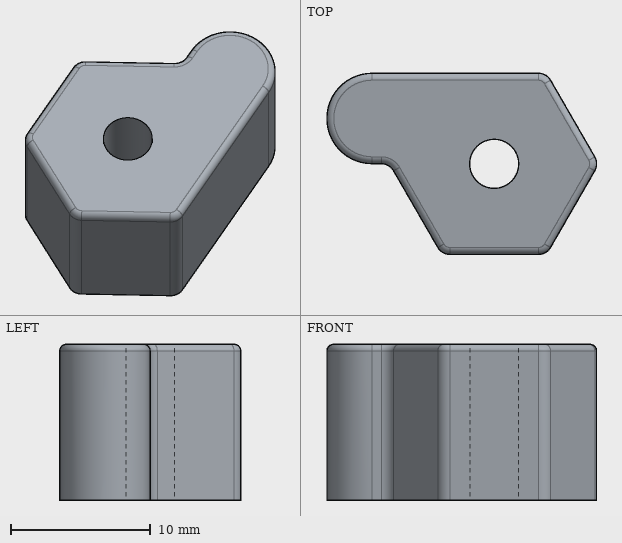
import cadquery as cq
import math

length = 19.35
across_flats = 13.0
height = 11.2
hole_diameter = 3.5
corner_radius = 1.0
top_edge_radius = 0.5

apothem = across_flats / 2
corner_reach = apothem / math.cos(math.radians(30))
half_side = corner_reach / 2

tip_x = corner_reach - corner_radius * (corner_reach / apothem - 1)

lever_radius = apothem / 2
lever_end_x = tip_x - length
lever_center_x = lever_end_x + lever_radius


def make_body():
    """Hexagonal block with the lever, all vertical corners rounded."""
    block = (
        cq.Workplane("XY")
        .moveTo(lever_center_x, apothem)
        .lineTo(half_side, apothem)
        .lineTo(corner_reach, 0)
        .lineTo(half_side, -apothem)
        .lineTo(-half_side, -apothem)
        .lineTo(-corner_reach, 0)
        .lineTo(lever_center_x, 0)
        .threePointArc((lever_end_x, lever_radius), (lever_center_x, apothem))
        .close()
        .extrude(height)
    )
    hexagon_region = cq.selectors.BoxSelector(
        ((lever_center_x - corner_reach) / 2, -across_flats, 0),
        (across_flats, across_flats, height),
    )
    corners = block.edges("|Z").edges(hexagon_region)
    return corners.fillet(corner_radius)


def make_hole():
    return cq.Workplane("XY").circle(hole_diameter / 2).extrude(height)


result = make_body().faces(">Z").edges().fillet(top_edge_radius).cut(make_hole())